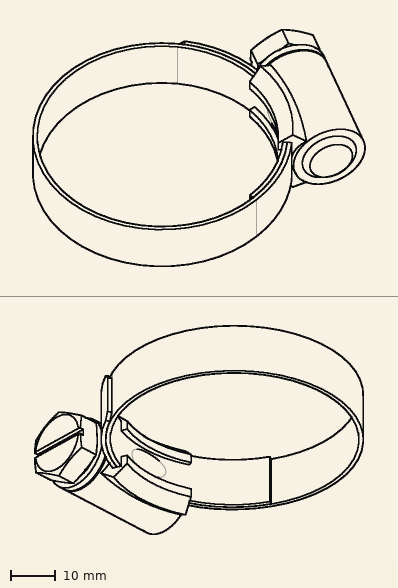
import cadquery as cq
import math


BAND_OUTER_RADIUS = 29.0
BAND_THICKNESS = 1.0
BAND_WIDTH = 12.0
BAND_INNER_RADIUS = BAND_OUTER_RADIUS - BAND_THICKNESS
LAYER_GAP = 0.05
LAYER_STEP = BAND_THICKNESS + LAYER_GAP
INNER_END_ANGLE = 28.5
OUTER_END_ANGLE = 154.3
OUTER_END_CHAMFER = 1.5

HOUSING_RADIUS = 8.5
HOUSING_START_X = -13.1
HOUSING_END_X = 12.65
SCREW_AXIS_Y = 35.45
SADDLE_HALF_ANGLE = 22.5
SADDLE_HALF_WIDTH = 8.5
SADDLE_RIDGE_RADIUS = 29.5
SADDLE_TOP_RADIUS = 32.8
SADDLE_TOP_HALF_WIDTH = 6.5
LIP_RADIUS = 26.2
LIP_OUTER_HALF_WIDTH = 5.65
LIP_INNER_HALF_WIDTH = 3.5
CHANNEL_RADIUS = BAND_INNER_RADIUS + LAYER_STEP / 2

HEAD_START_X = -21.1
HEAD_END_X = -15.55
HEAD_CORNER_DIAMETER = 17.0
HEAD_FACE_RADIUS = 6.9
HEAD_FRONT_BEVEL = 0.6
HEAD_BACK_BEVEL = 0.4
SLOT_WIDTH = 1.5
SLOT_DEPTH = 1.1
FLANGE_START_X = -15.1
FLANGE_END_X = -13.45
FLANGE_RADIUS = HOUSING_RADIUS
SHANK_RADIUS = 6.4
SHANK_END_X = 14.0
SHANK_TIP_CHAMFER = SHANK_END_X - HOUSING_END_X


def polar(radius, angle):
    """Point in the XY plane at a radius and an angle in degrees."""
    return (radius * math.cos(math.radians(angle)), radius * math.sin(math.radians(angle)))


def make_band():
    """Strip wound a little over one turn, its overlapping ends ramping one layer inward and outward."""
    overlap_middle = (INNER_END_ANGLE + OUTER_END_ANGLE) / 2
    inner, outer = BAND_INNER_RADIUS, BAND_OUTER_RADIUS
    band = (
        cq.Workplane("XY")
        .workplane(offset=-BAND_WIDTH / 2)
        .moveTo(*polar(inner - LAYER_STEP, INNER_END_ANGLE))
        .threePointArc(polar(inner - LAYER_STEP / 2, overlap_middle), polar(inner, OUTER_END_ANGLE))
        .threePointArc(polar(inner, overlap_middle + 180), polar(inner, INNER_END_ANGLE))
        .threePointArc(
            polar(inner + LAYER_STEP / 2, overlap_middle), polar(inner + LAYER_STEP, OUTER_END_ANGLE)
        )
        .lineTo(*polar(outer + LAYER_STEP, OUTER_END_ANGLE))
        .threePointArc(polar(outer + LAYER_STEP / 2, overlap_middle), polar(outer, INNER_END_ANGLE))
        .threePointArc(polar(outer, overlap_middle + 180), polar(outer, OUTER_END_ANGLE))
        .threePointArc(
            polar(outer - LAYER_STEP / 2, overlap_middle), polar(outer - LAYER_STEP, INNER_END_ANGLE)
        )
        .close()
        .extrude(BAND_WIDTH)
    )
    end_x, end_y = polar(outer + LAYER_GAP + BAND_THICKNESS / 2, OUTER_END_ANGLE)
    for side in (1, -1):
        corner = cq.selectors.NearestToPointSelector((end_x, end_y, side * BAND_WIDTH / 2))
        band = band.edges(corner).chamfer(OUTER_END_CHAMFER)
    return band


def make_saddle():
    """Ridged block swept about the band axis, with a channel between its two lips."""
    upper_half = [
        (CHANNEL_RADIUS, LIP_INNER_HALF_WIDTH),
        (LIP_RADIUS, LIP_INNER_HALF_WIDTH),
        (LIP_RADIUS, LIP_OUTER_HALF_WIDTH),
        (SADDLE_RIDGE_RADIUS, SADDLE_HALF_WIDTH),
        (SADDLE_TOP_RADIUS, SADDLE_TOP_HALF_WIDTH),
    ]
    lower_half = [(radius, -z) for radius, z in reversed(upper_half)]
    return (
        cq.Workplane("XZ")
        .polyline(upper_half + lower_half)
        .close()
        .revolve(2 * SADDLE_HALF_ANGLE, (0, 0, 0), (0, 1, 0))
        .rotate((0, 0, 0), (0, 0, 1), 90 - SADDLE_HALF_ANGLE)
    )


def x_cylinder(radius, start_x, end_x):
    """Cylinder on the screw axis."""
    return (
        cq.Workplane("YZ", origin=(start_x, SCREW_AXIS_Y, 0)).circle(radius).extrude(end_x - start_x)
    )


def make_clamp():
    """Band and housing in one piece, bored for the screw shank."""
    housing = x_cylinder(HOUSING_RADIUS, HOUSING_START_X, HOUSING_END_X)
    bore = x_cylinder(SHANK_RADIUS, HOUSING_START_X, HOUSING_END_X)
    return make_band().union(make_saddle()).union(housing).cut(bore)


def make_head():
    """Hexagon with two corners along Z, both faces bevelled to a circle, slotted along Y."""
    corner_radius = HEAD_CORNER_DIAMETER / 2
    hexagon = (
        cq.Workplane("YZ", origin=(HEAD_START_X, SCREW_AXIS_Y, 0))
        .transformed(rotate=(0, 0, 90))
        .polygon(6, HEAD_CORNER_DIAMETER)
        .extrude(HEAD_END_X - HEAD_START_X)
    )
    bevelled_envelope = (
        cq.Workplane("XY", origin=(0, SCREW_AXIS_Y, 0))
        .moveTo(HEAD_START_X, 0)
        .lineTo(HEAD_START_X, HEAD_FACE_RADIUS)
        .lineTo(HEAD_START_X + HEAD_FRONT_BEVEL, corner_radius)
        .lineTo(HEAD_END_X - HEAD_BACK_BEVEL, corner_radius)
        .lineTo(HEAD_END_X, HEAD_FACE_RADIUS)
        .lineTo(HEAD_END_X, 0)
        .close()
        .revolve(360, (0, 0, 0), (1, 0, 0))
    )
    slot = cq.Workplane("XY", origin=(HEAD_START_X, SCREW_AXIS_Y, 0)).box(
        2 * SLOT_DEPTH, HEAD_CORNER_DIAMETER, SLOT_WIDTH
    )
    return hexagon.intersect(bevelled_envelope).cut(slot)


def make_screw():
    """Head, neck, flange and chamfered shank on one axis."""
    neck = x_cylinder(HEAD_FACE_RADIUS, HEAD_END_X, FLANGE_START_X)
    flange = x_cylinder(FLANGE_RADIUS, FLANGE_START_X, FLANGE_END_X)
    shank = x_cylinder(SHANK_RADIUS, FLANGE_END_X, SHANK_END_X).faces(">X").chamfer(SHANK_TIP_CHAMFER)
    return make_head().union(neck).union(flange).union(shank)


clamp = make_clamp()
screw = make_screw()
result = cq.Compound.makeCompound([clamp.solids().val(), screw.solids().val()])